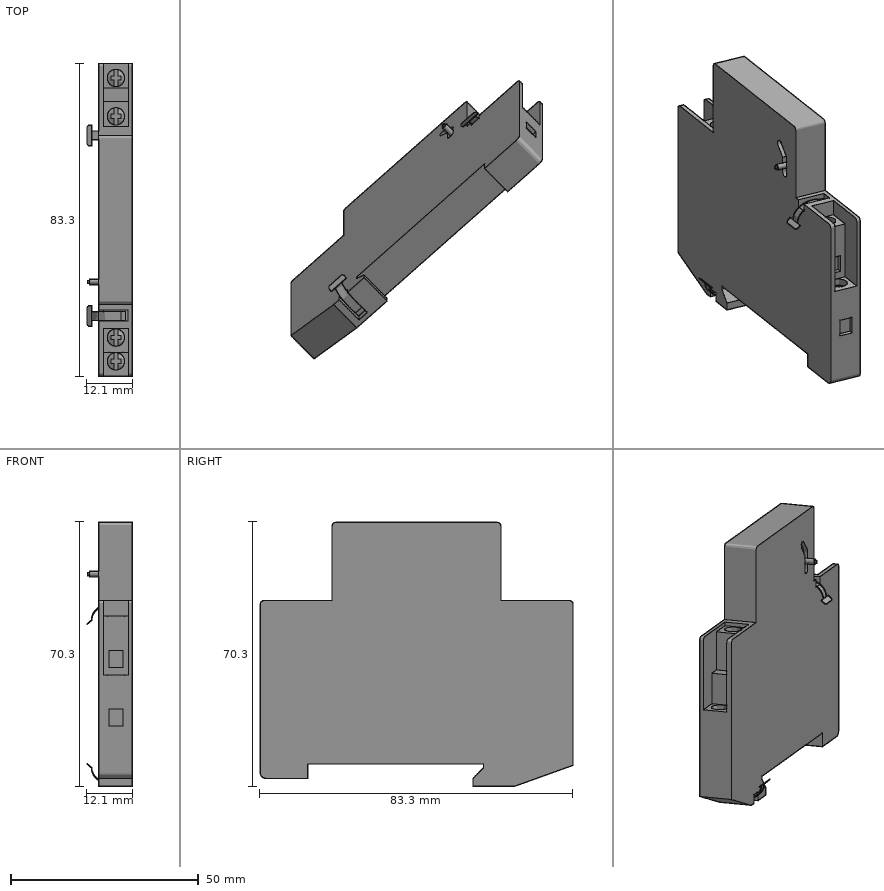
import cadquery as cq
import math


WIDTH = 9.0
LENGTH = 83.3
HEIGHT = 70.3
SHOULDER_Z = 49.5
HEAD_FRONT_Y = 19.1
HEAD_REAR_Y = 64.1
FOOT_Y = 12.7
FOOT_Z = 2.1
RAIL_Z = 5.9
HOOK_ROOT_Y = 59.4
HOOK_ROOT_Z = 5.0
HOOK_TIP_Y = 56.6
HOOK_TIP_Z = 2.1
RAMP_Y = 67.7
RAMP_Z = 5.6
EDGE_RADIUS = 1.05
FOOT_RADIUS = 1.5

WELL_X0 = 1.3
WELL_X1 = 7.93
FRONT_STEP_Y = 6.36
FRONT_WELL_Y = 12.7
FRONT_UPPER_Z = 45.3
LOWER_FLOOR_Z = 29.6
REAR_WELL_Y = 66.5
REAR_INNER_STEP_Y = 73.1
REAR_OUTER_STEP_Y = 76.7
REAR_UPPER_Z = 48.5
REAR_MIDDLE_Z = 38.0

SCREW_X = 4.6
SCREW_RADIUS = 2.3
SCREW_DOME = 0.6
SCREW_SINK = 1.2
SCREW_SLOT_WIDTH = 1.1
SCREW_CROSS_LENGTH = 2.75
SCREW_PLACES = [
    (4.0, LOWER_FLOOR_Z),
    (10.3, FRONT_UPPER_Z),
    (69.2, REAR_UPPER_Z),
    (79.4, LOWER_FLOOR_Z),
]

WINDOW_X = 4.6
WINDOW_WIDTH = 3.75
WINDOW_HEIGHT = 4.6
WINDOW_DEPTH = 1.2
WINDOW_PLACES = [(0, 18.35), (FRONT_STEP_Y, 33.9)]

GUIDE_WIDTH = 2.1
GUIDE_DEPTH = 1.1
GUIDE_Y = 25.2
GUIDE_BOTTOM_Z = 54.2
GUIDE_BEND_Z = 58.45
GUIDE_LEG_LENGTH = 3.4
GUIDE_LEG_ANGLE = 46.0
PIN_Y = 25.1
PIN_Z = 56.5
PIN_RADIUS = 0.78
PIN_REACH = 2.4
PIN_TIP_RADIUS = 0.45
PIN_TIP_REACH = 2.9

CLIP_WIDTH = 2.4
CLIP_THICKNESS = 0.15
CLIP_REACH = 3.12
CLIP_END_X = 7.1
CLIP_FLAT_X = 5.9
CLIP_HEAD_X = -1.95
CLIP_HEAD_WIDTH = 5.5
CLIP_HEAD_CHAMFER = 0.45
CLIP_EDGE_DROP = 0.75
CLIP_BEND_X = -1.1
CLIP_BEND_DROP = 1.75
CLIP_HEAD_DROP = 4.1
CLIP_TIP_DROP = 5.3
CLIP_SLOT_WIDTH = 3.0
CLIP_SLOT_OFFSET = 0.12
CLIP_SLOT_END_X = 7.75
CLIP_WALL = 1.35
CLIP_CAVITY_DEPTH = 3.5
TOP_CLIP_Y = 16.05
TOP_CLIP_Z = 48.4
TOP_CLIP_SLOT_DEPTH = 2.1
BOTTOM_CLIP_Y = 64.1
BOTTOM_CLIP_Z = 0.8
BOTTOM_CLIP_SLOT_DEPTH = 2.45


def box(x0, x1, y0, y1, z0, z1):
    """Box between two opposite corners."""
    return cq.Workplane("XY").box(x1 - x0, y1 - y0, z1 - z0, centered=False).translate((x0, y0, z0))


def housing():
    """Side outline extruded through the thickness, with rounded outer corners."""
    outline = [
        (0, FOOT_Z),
        (FOOT_Y, FOOT_Z),
        (FOOT_Y, RAIL_Z),
        (HOOK_ROOT_Y, RAIL_Z),
        (HOOK_ROOT_Y, HOOK_ROOT_Z),
        (HOOK_TIP_Y, HOOK_TIP_Z),
        (HOOK_TIP_Y, 0),
        (RAMP_Y, 0),
        (LENGTH, RAMP_Z),
        (LENGTH, SHOULDER_Z),
        (HEAD_REAR_Y, SHOULDER_Z),
        (HEAD_REAR_Y, HEIGHT),
        (HEAD_FRONT_Y, HEIGHT),
        (HEAD_FRONT_Y, SHOULDER_Z),
        (0, SHOULDER_Z),
    ]
    body = cq.Workplane("YZ").polyline(outline).close().extrude(WIDTH)
    rounded_corners = [
        (0, FOOT_Z, FOOT_RADIUS),
        (0, SHOULDER_Z, EDGE_RADIUS),
        (LENGTH, SHOULDER_Z, EDGE_RADIUS),
        (HEAD_FRONT_Y, HEIGHT, EDGE_RADIUS),
        (HEAD_REAR_Y, HEIGHT, EDGE_RADIUS),
    ]
    for y, z, radius in rounded_corners:
        corner_edge = cq.selectors.NearestToPointSelector((WIDTH / 2, y, z))
        body = body.edges("|X").edges(corner_edge).fillet(radius)
    return body


def well(y0, y1, floor_z):
    """Cutter for one step of a terminal well."""
    return box(WELL_X0, WELL_X1, y0, y1, floor_z, HEIGHT)


def cut_wells(body):
    """Stepped wells at the front and rear ends."""
    steps = [
        (0, FRONT_STEP_Y, LOWER_FLOOR_Z),
        (FRONT_STEP_Y, FRONT_WELL_Y, FRONT_UPPER_Z),
        (REAR_WELL_Y, REAR_INNER_STEP_Y, REAR_UPPER_Z),
        (REAR_INNER_STEP_Y, REAR_OUTER_STEP_Y, REAR_MIDDLE_Z),
        (REAR_OUTER_STEP_Y, LENGTH, LOWER_FLOOR_Z),
    ]
    for y0, y1, floor_z in steps:
        body = body.cut(well(y0, y1, floor_z))
    return body


def screw():
    """Domed screw head with a cross recess, its crown at the origin."""
    dome = (
        cq.Workplane("XZ")
        .moveTo(0, -SCREW_DOME)
        .lineTo(SCREW_RADIUS, -SCREW_DOME)
        .radiusArc((0, 0), -(SCREW_RADIUS**2 + SCREW_DOME**2) / (2 * SCREW_DOME))
        .close()
        .revolve(360, (0, 0), (0, 1))
    )
    long_slot = cq.Workplane("XY").box(SCREW_SLOT_WIDTH, 2 * SCREW_RADIUS, 2 * SCREW_DOME)
    cross_slot = cq.Workplane("XY").box(SCREW_CROSS_LENGTH, SCREW_SLOT_WIDTH, 2 * SCREW_DOME)
    return dome.cut(long_slot).cut(cross_slot)


def add_screws(body):
    """Sink a round seat in each well floor and fill it with a screw head."""
    for y, floor_z in SCREW_PLACES:
        place = (SCREW_X, y, floor_z)
        seat = cq.Workplane("XY").circle(SCREW_RADIUS).extrude(-(SCREW_SINK + SCREW_DOME))
        crown = (SCREW_X, y, floor_z - SCREW_SINK)
        body = body.cut(seat.translate(place)).union(screw().translate(crown))
    return body


def cut_windows(body):
    """Shallow rectangular wire windows facing the front."""
    for y, z in WINDOW_PLACES:
        window = cq.Workplane("XY").box(WINDOW_WIDTH, 2 * WINDOW_DEPTH, WINDOW_HEIGHT)
        body = body.cut(window.translate((WINDOW_X, y, z)))
    return body


def guide_slot():
    """Round-ended slot with an upright lower leg and an upper leg leaning to the rear.

    The legs meet in a sharp inner corner; the outer side is an arc about that corner.
    """
    half = GUIDE_WIDTH / 2
    corner = cq.Vector(GUIDE_Y + half, GUIDE_BEND_Z)

    def along(angle, distance, start=corner):
        """Point at a distance from the start, the angle leaning from +Z towards +Y."""
        lean = math.radians(angle)
        return start + cq.Vector(math.sin(lean), math.cos(lean)) * distance

    across = GUIDE_LEG_ANGLE - 90
    outer_upright = along(-90, GUIDE_WIDTH)
    outer_leaning = along(across, GUIDE_WIDTH)
    outer_middle = along((across - 90) / 2, GUIDE_WIDTH)
    end_inner = along(GUIDE_LEG_ANGLE, GUIDE_LEG_LENGTH)
    end_outer = along(across, GUIDE_WIDTH, end_inner)
    end_tip = along(GUIDE_LEG_ANGLE, half, along(across, half, end_inner))
    outline = (
        cq.Workplane("YZ")
        .moveTo(corner.x, GUIDE_BOTTOM_Z)
        .lineTo(corner.x, corner.y)
        .lineTo(end_inner.x, end_inner.y)
        .threePointArc((end_tip.x, end_tip.y), (end_outer.x, end_outer.y))
        .lineTo(outer_leaning.x, outer_leaning.y)
        .threePointArc((outer_middle.x, outer_middle.y), (outer_upright.x, outer_upright.y))
        .lineTo(outer_upright.x, GUIDE_BOTTOM_Z)
        .threePointArc((GUIDE_Y, GUIDE_BOTTOM_Z - half), (corner.x, GUIDE_BOTTOM_Z))
        .close()
    )
    return outline.extrude(GUIDE_DEPTH)


def add_guide(body):
    """Bent slot in the left side with a stepped pin standing on its floor."""
    floor = cq.Workplane("YZ", origin=(GUIDE_DEPTH, PIN_Y, PIN_Z))
    shank = floor.circle(PIN_RADIUS).extrude(-(GUIDE_DEPTH + PIN_REACH))
    tip = floor.circle(PIN_TIP_RADIUS).extrude(-(GUIDE_DEPTH + PIN_TIP_REACH))
    return body.cut(guide_slot()).union(shank).union(tip)


def clip():
    """Clip pointing down, the top of its flat end at Y = 0, Z = 0."""
    t = CLIP_THICKNESS
    flat_start = (CLIP_FLAT_X, 0)
    edge = (0, -CLIP_EDGE_DROP)
    bend = (CLIP_BEND_X, -CLIP_BEND_DROP)
    neck = (CLIP_HEAD_X, -CLIP_HEAD_DROP)

    def lowered(point):
        return (point[0] + t, point[1] - t)

    strip = (
        cq.Workplane("XZ")
        .moveTo(*flat_start)
        .spline([edge, bend, neck], includeCurrent=True)
        .lineTo(*lowered(neck))
        .spline([lowered(bend), lowered(edge), lowered(flat_start)], includeCurrent=True)
        .close()
        .extrude(CLIP_WIDTH)
        .translate((0, CLIP_WIDTH / 2, 0))
    )
    root = box(CLIP_FLAT_X, CLIP_END_X, -CLIP_WIDTH / 2, CLIP_WIDTH / 2, -CLIP_CAVITY_DEPTH, 0)
    flare = (
        cq.Workplane("XZ")
        .polyline([neck, (-CLIP_REACH, -CLIP_TIP_DROP + t), (-CLIP_REACH, -CLIP_TIP_DROP), lowered(neck)])
        .close()
        .extrude(CLIP_HEAD_WIDTH)
        .translate((0, CLIP_HEAD_WIDTH / 2, 0))
    )
    head_plan = (
        cq.Workplane("XY")
        .rect(2 * CLIP_REACH, CLIP_HEAD_WIDTH)
        .extrude(CLIP_TIP_DROP, both=True)
        .edges("|Z and <X")
        .chamfer(CLIP_HEAD_CHAMFER)
    )
    return strip.union(root).union(flare.intersect(head_plan))


def clip_slot(wall_depth):
    """Cutter for a clip slot: a notch through the left wall and a deeper cavity behind it."""
    y0 = CLIP_SLOT_OFFSET - CLIP_SLOT_WIDTH / 2
    y1 = CLIP_SLOT_OFFSET + CLIP_SLOT_WIDTH / 2
    notch = box(0, CLIP_SLOT_END_X, y0, y1, -wall_depth, 0)
    cavity = box(CLIP_WALL, CLIP_SLOT_END_X, y0, y1, -CLIP_CAVITY_DEPTH, 0)
    return notch.union(cavity)


def add_clips(body):
    """Upper clip at the front shoulder and a mirrored lower clip in the hook."""
    top_slot = clip_slot(TOP_CLIP_SLOT_DEPTH).translate((0, TOP_CLIP_Y, SHOULDER_Z))
    bottom_slot = clip_slot(BOTTOM_CLIP_SLOT_DEPTH).mirror("XY").translate((0, BOTTOM_CLIP_Y, 0))
    top_clip = clip().translate((0, TOP_CLIP_Y, TOP_CLIP_Z))
    bottom_clip = clip().mirror("XY").translate((0, BOTTOM_CLIP_Y, BOTTOM_CLIP_Z))
    return body.cut(top_slot).cut(bottom_slot).union(top_clip).union(bottom_clip)


result = housing()
result = cut_wells(result)
result = add_screws(result)
result = cut_windows(result)
result = add_guide(result)
result = add_clips(result)